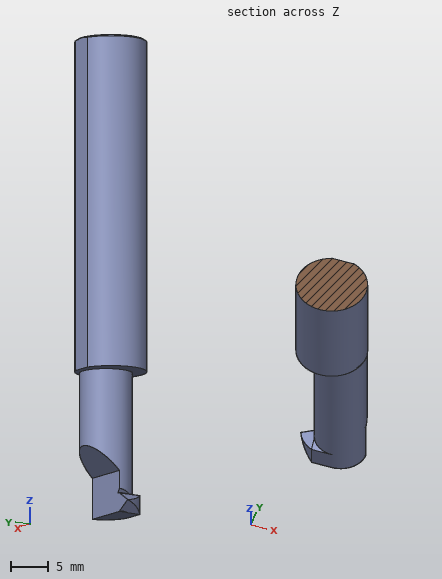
import cadquery as cq
import math

total_length = 63.5
shank_diameter = 9.525
shank_radius = shank_diameter / 2
flat_depth = 0.254
chamfer_width = 0.42
chamfer_height = 0.25

neck_length = 19.05
neck_radius = 3.51
neck_x = shank_radius - neck_radius

relief_height = 5.5
relief_angle = 45.0

head_height = 2.54
tip_x = -4.35
tip_z = head_height / 2
heel_x = -1.6
heel_y = -neck_radius
flank_radius = 9.0
edge_angle = 30.0
side_clearance_angle = 5.0

undercut_depth = 0.45
undercut_angle = 50.0


def make_shank():
    """Round shank with a chamfered top end and a shallow flat along its +Y side."""
    shank = (
        cq.Workplane("XY")
        .workplane(offset=neck_length)
        .circle(shank_radius)
        .extrude(total_length - neck_length)
        .faces(">Z")
        .chamfer(chamfer_height, chamfer_width)
    )
    flat_cutter = (
        cq.Workplane("XY")
        .box(shank_diameter, shank_diameter, total_length, centered=(True, False, False))
        .translate((0, shank_radius - flat_depth, 0))
    )
    return shank.cut(flat_cutter)


def make_neck():
    """Round neck, cut back to its axis plane below a sloping relief and notched above the head."""
    neck = cq.Workplane("XY").center(neck_x, 0).circle(neck_radius).extrude(neck_length)

    relief_reach = 2 * neck_radius
    relief_top = relief_height + relief_reach * math.tan(math.radians(relief_angle))
    relief = (
        cq.Workplane("YZ")
        .polyline([(0, 0), (relief_reach, 0), (relief_reach, relief_top), (0, relief_height)])
        .close()
        .extrude(shank_diameter, both=True)
    )

    neck_edge_x = neck_x - neck_radius
    undercut_rise = undercut_depth * math.tan(math.radians(undercut_angle))
    undercut = (
        cq.Workplane("XZ")
        .polyline([
            (neck_edge_x, head_height),
            (neck_edge_x + undercut_depth, head_height),
            (neck_edge_x, head_height + undercut_rise),
        ])
        .close()
        .extrude(neck_radius)
    )
    return neck.cut(relief).cut(undercut)


def make_head():
    """Pointed cutting head with a curved flank and cleared sides, on the -Y side of the axis."""
    flank_block = (
        cq.Workplane("XY")
        .moveTo(tip_x, 0)
        .radiusArc((heel_x, heel_y), -flank_radius)
        .lineTo(neck_x, heel_y)
        .lineTo(neck_x, 0)
        .close()
        .extrude(head_height)
    )

    def wedge_section(y):
        """Triangle of the point at the given Y, set back by the side clearance."""
        edge_slope = math.tan(math.radians(edge_angle))
        setback = -y * math.tan(math.radians(side_clearance_angle)) / edge_slope
        apex_x = tip_x + setback
        half_height = (neck_x - apex_x) * edge_slope
        return cq.Wire.makePolygon(
            [
                cq.Vector(apex_x, y, tip_z),
                cq.Vector(neck_x, y, tip_z + half_height),
                cq.Vector(neck_x, y, tip_z - half_height),
            ],
            close=True,
        )

    wedge = cq.Solid.makeLoft([wedge_section(0), wedge_section(heel_y)], True)
    return flank_block.intersect(cq.Workplane(obj=wedge))


result = make_shank().union(make_neck()).union(make_head())